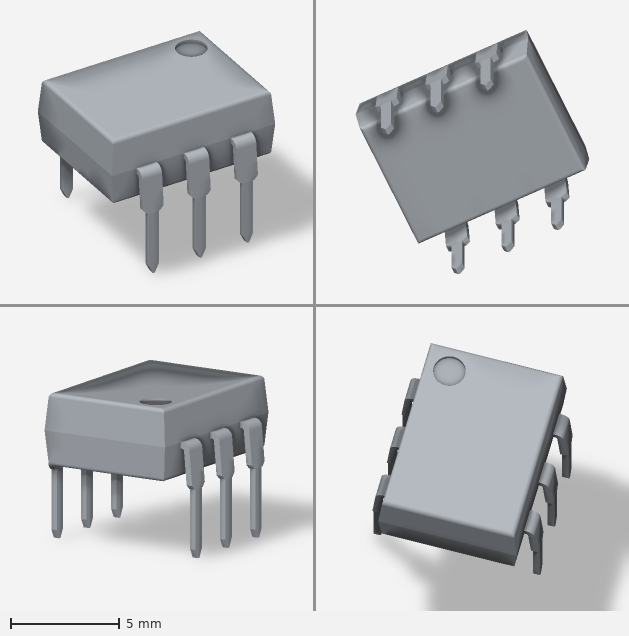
import cadquery as cq
import math


body_width = 6.61
body_length = 8.8
body_height = 3.44
standoff = 0.51
parting_z = 2.2
draft_angle = 5.0
edge_radius = 0.2

marker_diameter = 1.5
marker_depth = 0.2
marker_x = -1.94
marker_y = 3.05

leads_per_side = 3
lead_pitch = 2.54
lead_span = 7.924
lead_thickness = 0.3
bend_inner_radius = 0.1
leg_splay = 5.0
shoulder_width = 1.08
shoulder_chamfer = 0.2
pin_width = 0.53
pin_length = 3.3
tip_width = 0.1
tip_length = 0.43

body_top_z = standoff + body_height
upper_height = body_top_z - parting_z
lower_height = parting_z - standoff
lead_outer_x = lead_span / 2
lead_inner_x = lead_outer_x - lead_thickness
bend_outer_radius = bend_inner_radius + lead_thickness


def make_body():
    """Upper and lower halves drafted away from the parting plane, with rounded rims and a pin 1 marker."""
    parting_plane = cq.Workplane("XY").workplane(offset=parting_z)
    upper = parting_plane.rect(body_width, body_length).extrude(upper_height, taper=draft_angle)
    lower = parting_plane.rect(body_width, body_length).extrude(-lower_height, taper=draft_angle)
    upper = upper.faces(">Z").edges().fillet(edge_radius)
    lower = lower.faces("<Z").edges().fillet(edge_radius)
    marker = (
        cq.Workplane("XY")
        .workplane(offset=body_top_z - marker_depth)
        .center(marker_x, marker_y)
        .circle(marker_diameter / 2)
        .extrude(marker_depth)
    )
    return upper.union(lower).cut(marker).solids()


def make_bent_strip():
    """Lead side profile on the +X side, extruded to the shoulder width and centred on Y = 0."""
    splay = math.radians(leg_splay)
    mid_bend = (splay + math.pi / 2) / 2
    bend_z = parting_z - bend_outer_radius
    leg_length = (bend_z + bend_outer_radius * math.sin(splay)) / math.cos(splay)
    bend_x = lead_outer_x - bend_outer_radius * math.cos(splay) - leg_length * math.sin(splay)

    def on_bend(radius, angle):
        return (bend_x + radius * math.cos(angle), bend_z + radius * math.sin(angle))

    wall_x = body_width / 2
    wall_lower_x = wall_x - lead_thickness * math.tan(math.radians(draft_angle))
    knee_inner_z = -lead_thickness * math.tan(splay / 2)

    return (
        cq.Workplane("XZ")
        .moveTo(wall_x, parting_z)
        .lineTo(*on_bend(bend_outer_radius, math.pi / 2))
        .threePointArc(on_bend(bend_outer_radius, mid_bend), on_bend(bend_outer_radius, splay))
        .lineTo(lead_outer_x, 0)
        .lineTo(lead_outer_x, -pin_length)
        .lineTo(lead_inner_x, -pin_length)
        .lineTo(lead_inner_x, knee_inner_z)
        .lineTo(*on_bend(bend_inner_radius, splay))
        .threePointArc(on_bend(bend_inner_radius, mid_bend), on_bend(bend_inner_radius, math.pi / 2))
        .lineTo(wall_lower_x, parting_z - lead_thickness)
        .close()
        .extrude(shoulder_width / 2, both=True)
    )


def make_lead_outline():
    """Lead face outline: wide shoulder, narrow pin and tapered tip, extruded along X."""
    half_shoulder = shoulder_width / 2
    half_pin = pin_width / 2
    half_tip = tip_width / 2
    right_half = [
        (half_shoulder, parting_z),
        (half_shoulder, shoulder_chamfer),
        (half_shoulder - shoulder_chamfer, 0),
        (half_pin, 0),
        (half_pin, tip_length - pin_length),
        (half_tip, -pin_length),
    ]
    left_half = [(-y, z) for y, z in reversed(right_half)]
    return cq.Workplane("YZ").polyline(right_half + left_half).close().extrude(lead_outer_x)


def make_leads():
    """Rows of identical leads along both long sides of the body."""
    lead = make_bent_strip().intersect(make_lead_outline()).solids()
    leads = []
    for side_angle in (0, 180):
        turned_lead = lead.rotate((0, 0, 0), (0, 0, 1), side_angle)
        for index in range(leads_per_side):
            lead_y = (index - (leads_per_side - 1) / 2) * lead_pitch
            leads.append(turned_lead.translate((0, lead_y, 0)).val())
    return leads


body = make_body()
leads = make_leads()

result = cq.Compound.makeCompound([body.val(), *leads])